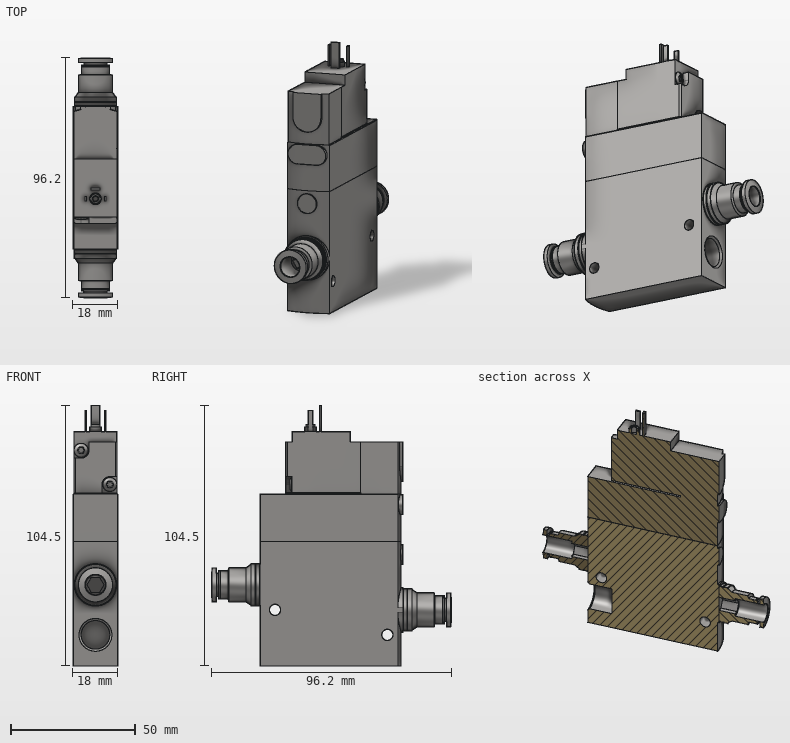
import cadquery as cq
import math


WIDTH = 18.0
PORT_BLOCK_HEIGHT = 50.0
BLOCK_HEIGHT = 69.1
REAR_CREST_Y = 56.5
REAR_CORNER_Y = 55.2
TOP_EDGE_CHAMFER = 0.3
BOSS_FACE_Y = 57.2
BOSS_ROOT_Y = REAR_CORNER_Y - 1.0

TOWER_WIDTH = WIDTH - 2 * TOP_EDGE_CHAMFER
TOWER_FRONT_Y = 40.2
TOWER_TOP_Z = 89.9

REAR_TAB_WIDTH = 11.9
REAR_TAB_LOW_Z = 74.0
REAR_BOSS_DIAMETER = 8.0
SINGLE_BOSS_Z = 44.7
WIDE_BOSS_LENGTH = 16.1
FITTING_BOSS_DIAMETER = 18.1

MOUNT_HOLE_DIAMETER = 4.4
MOUNT_HOLES_YZ = [(6.0, 22.6), (51.0, 12.5)]

PORT_Z = 12.5
PORT_DIAMETER = 11.5
PORT_MOUTH_DIAMETER = 13.2
PORT_DEPTH = 10.5

FRONT_FITTING_Z = 32.6
REAR_FITTING_Z = 22.6
FITTING_LENGTH = 19.5
BASE_DIAMETER = 17.0
BASE_START = 0.3
BASE_GROOVE_START = 1.7
BASE_END = 3.8
GROOVE_DIAMETER = 16.4
GROOVE_WIDTH = 0.3
BARREL_DIAMETER = 13.8
BARREL_START = 5.6
BARREL_END = 12.5
SLEEVE_DIAMETER = 11.4
SLEEVE_START = 12.9
SLEEVE_GROOVE_DIAMETER = 11.0
SLEEVE_GROOVE_START = 15.9
SLEEVE_END = 16.7
NECK_DIAMETER = 9.4
COLLAR_DIAMETER = 13.7
COLLAR_START = 17.6
COLLAR_CONE_START = 19.2
BORE_MOUTH_DIAMETER = 8.5
TUBE_BORE_DIAMETER = 8.0
BORE_MOUTH_END = FITTING_LENGTH - (BORE_MOUTH_DIAMETER - TUBE_BORE_DIAMETER) / 2
TUBE_BORE_DEPTH = 12.5
SOCKET_ACROSS_FLATS = 6.0

SOLENOID_WIDTH = TOWER_WIDTH - 0.1
SOLENOID_BOTTOM_Z = 69.5
SOLENOID_TOP_Z = 94.0
RAISED_FRONT_Y = 12.9
RAISED_REAR_Y = 36.2
PLATE_FRONT_Y = 10.2
PLATE_TOP_Z = TOWER_TOP_Z
PLATE_CHAMFER = 0.6
SCREW_X = 5.7
SCREW_NOTCH_RADIUS = 3.1
UPPER_SCREW_Z = 86.5
LOWER_SCREW_Z = SOLENOID_BOTTOM_Z + PLATE_TOP_Z - UPPER_SCREW_Z
SCREW_HEAD_DIAMETER = 5.6
SCREW_RIM_HEIGHT = 0.2
SCREW_HEAD_HEIGHT = 0.9
SCREW_DOME_RADIUS = 2.1
SCREW_FLAT_DIAMETER = 3.1
SCREW_SOCKET_DIAMETER = 2.1
SCREW_LOBE_DIAMETER = 0.7
SCREW_LOBES = 6
SCREW_SOCKET_DEPTH = 0.6

CONNECTOR_Y = 20.2
NUT_DIAMETER = 4.7
NUT_HEIGHT = 1.9
NUT_COLLAR_DIAMETER = 3.8
NUT_COLLAR_HEIGHT = 2.8
NUT_MOUTH_DIAMETER = 2.5
NUT_BORE_DIAMETER = 2.0

SIDE_PIN_X = 4.0
SIDE_PIN_SIZE = (0.6, 1.9)
SIDE_PIN_TOP_Z = 102.5
EARTH_PIN_Y = 24.1
EARTH_PIN_SIZE = (3.6, 0.8)
EARTH_PIN_TOP_Z = 104.5


def box(x_range, y_range, z_range):
    """Axis-aligned box between the given limits."""
    spans = [high - low for low, high in (x_range, y_range, z_range)]
    start = (x_range[0], y_range[0], z_range[0])
    return cq.Workplane("XY").box(*spans, centered=False).translate(start)


def rod_y(x, z, diameter, y_start, y_end):
    """Cylinder along Y."""
    axis = cq.Vector(0, 1, 0)
    return cq.Workplane(cq.Solid.makeCylinder(diameter / 2, y_end - y_start, cq.Vector(x, y_start, z), axis))


def curved_back_column(width, front_y, corner_y, bottom_z, top_z):
    """Upright column with flat front and sides and a shallow arc for its rear face."""
    half = width / 2
    return (
        cq.Workplane("XY", origin=(0, 0, bottom_z))
        .moveTo(-half, corner_y)
        .lineTo(-half, front_y)
        .lineTo(half, front_y)
        .lineTo(half, corner_y)
        .threePointArc((0, REAR_CREST_Y), (-half, corner_y))
        .close()
        .extrude(top_z - bottom_z)
    )


def make_rear_tab():
    """U-shaped tab on the rear of the tower."""
    radius = REAR_TAB_WIDTH / 2
    arc_z = REAR_TAB_LOW_Z + radius
    straight = box((-radius, radius), (BOSS_ROOT_Y, BOSS_FACE_Y), (arc_z, TOWER_TOP_Z))
    return straight.union(rod_y(0, arc_z, REAR_TAB_WIDTH, BOSS_ROOT_Y, BOSS_FACE_Y))


def make_wide_boss():
    """Round-ended boss across the rear of the valve block, just below its top chamfers."""
    radius = REAR_BOSS_DIAMETER / 2
    z = BLOCK_HEIGHT - TOP_EDGE_CHAMFER - radius
    end_x = WIDE_BOSS_LENGTH / 2 - radius
    boss = box((-end_x, end_x), (BOSS_ROOT_Y, BOSS_FACE_Y), (z - radius, z + radius))
    for x in (-end_x, end_x):
        boss = boss.union(rod_y(x, z, REAR_BOSS_DIAMETER, BOSS_ROOT_Y, BOSS_FACE_Y))
    return boss


def make_fitting_boss():
    """Round seat for the rear fitting, trimmed flush with the sides of the port block."""
    seat = rod_y(0, REAR_FITTING_Z, FITTING_BOSS_DIAMETER, BOSS_ROOT_Y, BOSS_FACE_Y)
    return seat.intersect(box((-WIDTH / 2, WIDTH / 2), (BOSS_ROOT_Y, BOSS_FACE_Y), (0, PORT_BLOCK_HEIGHT)))


def make_port():
    """Port recess in the front face, with a countersunk mouth."""
    mouth_depth = (PORT_MOUTH_DIAMETER - PORT_DIAMETER) / 2
    bore = rod_y(0, PORT_Z, PORT_DIAMETER, 0, PORT_DEPTH)
    mouth = cq.Workplane(
        cq.Solid.makeCone(
            PORT_MOUTH_DIAMETER / 2,
            PORT_DIAMETER / 2,
            mouth_depth,
            cq.Vector(0, 0, PORT_Z),
            cq.Vector(0, 1, 0),
        )
    )
    return bore.union(mouth)


def make_port_block():
    """Lower block with the port, the mounting holes and the seat of the rear fitting."""
    block = curved_back_column(WIDTH, 0, REAR_CORNER_Y, 0, PORT_BLOCK_HEIGHT)
    block = block.union(make_fitting_boss())
    block = block.union(rod_y(0, SINGLE_BOSS_Z, REAR_BOSS_DIAMETER, BOSS_ROOT_Y, BOSS_FACE_Y))
    for y, z in MOUNT_HOLES_YZ:
        hole = cq.Workplane("YZ").center(y, z).circle(MOUNT_HOLE_DIAMETER / 2).extrude(WIDTH, both=True)
        block = block.cut(hole)
    return block.cut(make_port())


def make_fitting():
    """Push-in fitting standing on the origin and pointing along +Y."""
    outline = [
        (0, 0),
        (GROOVE_DIAMETER, 0),
        (GROOVE_DIAMETER, BASE_START),
        (BASE_DIAMETER, BASE_START),
        (BASE_DIAMETER, BASE_GROOVE_START),
        (GROOVE_DIAMETER, BASE_GROOVE_START),
        (GROOVE_DIAMETER, BASE_GROOVE_START + GROOVE_WIDTH),
        (BASE_DIAMETER, BASE_GROOVE_START + GROOVE_WIDTH),
        (BASE_DIAMETER, BASE_END),
        (GROOVE_DIAMETER, BASE_END),
        (BARREL_DIAMETER, BARREL_START),
        (BARREL_DIAMETER, BARREL_END),
        (SLEEVE_DIAMETER, SLEEVE_START),
        (SLEEVE_DIAMETER, SLEEVE_GROOVE_START),
        (SLEEVE_GROOVE_DIAMETER, SLEEVE_GROOVE_START),
        (SLEEVE_GROOVE_DIAMETER, SLEEVE_GROOVE_START + GROOVE_WIDTH),
        (SLEEVE_DIAMETER, SLEEVE_GROOVE_START + GROOVE_WIDTH),
        (SLEEVE_DIAMETER, SLEEVE_END),
        (NECK_DIAMETER, SLEEVE_END),
        (NECK_DIAMETER, COLLAR_START),
        (COLLAR_DIAMETER, COLLAR_START),
        (COLLAR_DIAMETER, COLLAR_CONE_START),
        (BORE_MOUTH_DIAMETER, FITTING_LENGTH),
        (TUBE_BORE_DIAMETER, BORE_MOUTH_END),
        (0, BORE_MOUTH_END),
    ]
    profile = [(diameter / 2, distance) for diameter, distance in outline]
    shell = cq.Workplane("XY").polyline(profile).close().revolve(360, (0, 0, 0), (0, 1, 0))
    bore = rod_y(0, 0, TUBE_BORE_DIAMETER, FITTING_LENGTH - TUBE_BORE_DEPTH, FITTING_LENGTH)
    across_corners = SOCKET_ACROSS_FLATS / math.cos(math.pi / 6)
    socket = cq.Workplane("XZ").polygon(6, across_corners).extrude(-FITTING_LENGTH)
    return shell.cut(bore).cut(socket)


def make_front_plate():
    """Front plate with a notch around each of the two screws."""
    half = SOLENOID_WIDTH / 2
    plate = box((-half, half), (PLATE_FRONT_Y, RAISED_FRONT_Y), (SOLENOID_BOTTOM_Z, PLATE_TOP_Z))
    plate = plate.faces("<Y").edges("|Z").chamfer(PLATE_CHAMFER)
    notch = box(
        (-half, -SCREW_X + SCREW_NOTCH_RADIUS),
        (PLATE_FRONT_Y, RAISED_FRONT_Y),
        (UPPER_SCREW_Z - SCREW_NOTCH_RADIUS, PLATE_TOP_Z),
    )
    notch = notch.edges("|Y and >X and <Z").fillet(SCREW_NOTCH_RADIUS)
    plate_middle_z = (SOLENOID_BOTTOM_Z + PLATE_TOP_Z) / 2
    opposite_notch = notch.rotate((0, 0, plate_middle_z), (0, 1, plate_middle_z), 180)
    return plate.cut(notch).cut(opposite_notch)


def make_screw_head():
    """Domed screw head with a six-lobed socket, its seat on the XZ plane, facing -Y."""
    rim = SCREW_HEAD_DIAMETER / 2
    flat = SCREW_FLAT_DIAMETER / 2
    head = (
        cq.Workplane("XY")
        .lineTo(rim, 0)
        .lineTo(rim, -SCREW_RIM_HEIGHT)
        .radiusArc((flat, -SCREW_HEAD_HEIGHT), SCREW_DOME_RADIUS)
        .lineTo(0, -SCREW_HEAD_HEIGHT)
        .close()
        .revolve(360, (0, 0, 0), (0, 1, 0))
    )
    socket_floor = SCREW_SOCKET_DEPTH - SCREW_HEAD_HEIGHT
    head = head.cut(rod_y(0, 0, SCREW_SOCKET_DIAMETER, -SCREW_HEAD_HEIGHT, socket_floor))
    for lobe in range(SCREW_LOBES):
        angle = lobe * 2 * math.pi / SCREW_LOBES
        x = SCREW_SOCKET_DIAMETER / 2 * math.cos(angle)
        z = SCREW_SOCKET_DIAMETER / 2 * math.sin(angle)
        head = head.cut(rod_y(x, z, SCREW_LOBE_DIAMETER, -SCREW_HEAD_HEIGHT, socket_floor))
    return head


def make_connector():
    """Nut and three flat pins on top of the solenoid."""
    base = cq.Workplane("XY", origin=(0, CONNECTOR_Y, SOLENOID_TOP_Z))
    nut = base.circle(NUT_DIAMETER / 2).extrude(NUT_HEIGHT)
    nut = nut.union(base.circle(NUT_COLLAR_DIAMETER / 2).extrude(NUT_COLLAR_HEIGHT))
    nut = nut.cut(base.circle(NUT_BORE_DIAMETER / 2).extrude(NUT_COLLAR_HEIGHT))
    mouth_edge = nut.faces(">Z").edges(cq.selectors.RadiusNthSelector(0))
    nut = mouth_edge.chamfer((NUT_MOUTH_DIAMETER - NUT_BORE_DIAMETER) / 2)
    pins = [(x, CONNECTOR_Y, SIDE_PIN_SIZE, SIDE_PIN_TOP_Z) for x in (-SIDE_PIN_X, SIDE_PIN_X)]
    pins.append((0, EARTH_PIN_Y, EARTH_PIN_SIZE, EARTH_PIN_TOP_Z))
    connector = nut
    for x, y, size, top_z in pins:
        pin = cq.Workplane("XY", origin=(x, y, SOLENOID_TOP_Z)).rect(*size).extrude(top_z - SOLENOID_TOP_Z)
        connector = connector.union(pin)
    return connector


def make_solenoid():
    """Solenoid in front of the tower, with its plate, screws and connector."""
    half = SOLENOID_WIDTH / 2
    body = box((-half, half), (RAISED_FRONT_Y, TOWER_FRONT_Y), (SOLENOID_BOTTOM_Z, TOWER_TOP_Z))
    raised = box((-half, half), (RAISED_FRONT_Y, RAISED_REAR_Y), (SOLENOID_BOTTOM_Z, SOLENOID_TOP_Z))
    solenoid = body.union(raised).union(make_front_plate()).union(make_connector())
    for x, z in [(-SCREW_X, UPPER_SCREW_Z), (SCREW_X, LOWER_SCREW_Z)]:
        solenoid = solenoid.union(make_screw_head().translate((x, RAISED_FRONT_Y, z)))
    return solenoid


def make_valve():
    """Valve block with the tower at its rear and the solenoid carried by the tower."""
    block = curved_back_column(WIDTH, 0, REAR_CORNER_Y, PORT_BLOCK_HEIGHT, BLOCK_HEIGHT)
    block = block.faces(">Z").edges("|Y").chamfer(TOP_EDGE_CHAMFER)
    tower = curved_back_column(TOWER_WIDTH, TOWER_FRONT_Y, REAR_CORNER_Y, BLOCK_HEIGHT, TOWER_TOP_Z)
    valve = block.union(tower)
    for raised_shape in (make_rear_tab(), make_wide_boss(), make_solenoid()):
        valve = valve.union(raised_shape)
    return valve


port_block = make_port_block()
valve = make_valve()

fittings = []
for y, z, turn in [(0, FRONT_FITTING_Z, 180), (BOSS_FACE_Y, REAR_FITTING_Z, 0)]:
    fitting = make_fitting().rotate((0, 0, 0), (0, 0, 1), turn).translate((0, y, z))
    fittings.append(fitting.val())

result = cq.Compound.makeCompound([port_block.val(), valve.val(), *fittings])